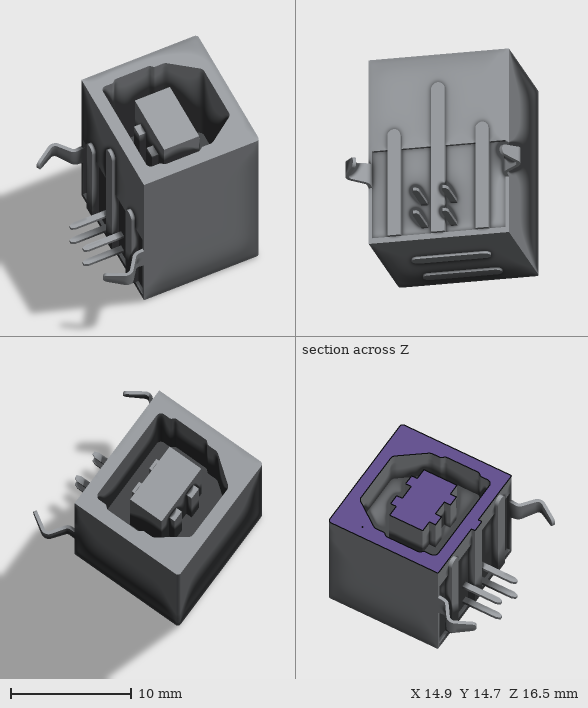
import cadquery as cq

SHELL_WIDTH = 11.98
SHELL_DEPTH = 10.68
SHELL_HEIGHT = 16.29
SHELL_CORNER_RADIUS = 0.3
SHEET = 0.3
JOIN = 0.16

CAVITY_DEPTH = 9.08
CAVITY_HALF_WIDTH = 4.55
CAVITY_FRONT = 1.09
CAVITY_BACK = 9.57
SHOULDER_Y = 7.0
CAVITY_BACK_HALF = 2.62
CAVITY_FRONT_RADIUS = 0.43
CAVITY_BACK_RADIUS = 0.5
CAVITY_SHOULDER_RADIUS = 0.6
RELIEF_FRONT = 2.2
RELIEF_BACK = 6.02
RELIEF_OUT = 0.28
RELIEF_RUN = 0.31
RELIEF_RADIUS = 0.25

TONGUE_WIDTH = 5.61
TONGUE_FRONT = 3.38
TONGUE_BACK = 6.62
TONGUE_DROP = 0.99
CONTACT_WIDTH = 1.02
CONTACT_SPACING = 2.43
CONTACT_FRONT = 2.79
CONTACT_BACK = 7.16
CONTACT_DROP = 2.97

RECESS_WIDTH = 11.42
RECESS_BOTTOM = 0.48
RECESS_TOP = 8.18
RIB_PROUD = 0.35
CENTRE_RIB_WIDTH = 1.15
CENTRE_RIB_TOP = 13.7
SIDE_RIB_WIDTH = 1.1
SIDE_RIB_TOP = 9.87
SIDE_RIB_X = 3.76

PIN_WIDTH = 0.56
PIN_THICKNESS = 0.26
PIN_SPACING = 2.5
PIN_END = 3.32
PIN_TIP_LENGTH = 0.36
PIN_TIP_WIDTH = 0.26
PIN_HEIGHTS = (1.22, 3.23)

LEG_Z = 5.94
LEG_ROOT_WIDTH = 2.01
LEG_TAPER_SLOPE = 0.156
LEG_CORNERS = ((0, -0.76), (1.65, -1.93), (0.41, -3.9))
LEG_BEND_RADIUS = 0.53
LEG_TIP_RADIUS = 0.41

PAD_HEIGHT = 0.21
PAD_WIDTH = 1.12
PAD_LENGTH = 6.76
PAD_Y = (4.4, 8.38)


def block(width, front, back, bottom, top, x=0):
    """Box of the given width centred on x."""
    base = cq.Workplane("XY", origin=(x, front, bottom))
    return base.box(width, back - front, top - bottom, centered=(True, False, False))


def make_shell():
    shell = block(SHELL_WIDTH, 0, SHELL_DEPTH, 0, SHELL_HEIGHT)
    return shell.edges("|Z and >Y").fillet(SHELL_CORNER_RADIUS)


def upright_edges(front, back):
    """Selector for the cavity corners whose Y lies from front to back."""
    margin = 0.02
    in_band = cq.selectors.BoxSelector(
        (-SHELL_WIDTH, front - margin, 0), (SHELL_WIDTH, back + margin, SHELL_HEIGHT)
    )
    return cq.selectors.AndSelector(cq.selectors.ParallelDirSelector(cq.Vector(0, 0, 1)), in_band)


def make_cavity():
    half = CAVITY_HALF_WIDTH
    wide = half + RELIEF_OUT
    right_side = [
        (half, CAVITY_FRONT),
        (half, RELIEF_FRONT),
        (wide, RELIEF_FRONT + RELIEF_RUN),
        (wide, RELIEF_BACK - RELIEF_RUN),
        (half, RELIEF_BACK),
        (half, SHOULDER_Y),
        (CAVITY_BACK_HALF, CAVITY_BACK),
    ]
    left_side = [(-x, y) for x, y in reversed(right_side)]
    floor = SHELL_HEIGHT - CAVITY_DEPTH
    outline = cq.Workplane("XY", origin=(0, 0, floor)).polyline(right_side + left_side).close()
    cavity = outline.extrude(CAVITY_DEPTH)
    cavity = cavity.edges("|Z and <Y").fillet(CAVITY_FRONT_RADIUS)
    cavity = cavity.edges("|Z and >Y").fillet(CAVITY_BACK_RADIUS)
    cavity = cavity.edges(upright_edges(SHOULDER_Y, SHOULDER_Y)).fillet(CAVITY_SHOULDER_RADIUS)
    cavity = cavity.edges(upright_edges(RELIEF_FRONT, RELIEF_FRONT + RELIEF_RUN)).fillet(RELIEF_RADIUS)
    return cavity.edges(upright_edges(RELIEF_BACK - RELIEF_RUN, RELIEF_BACK)).fillet(RELIEF_RADIUS)


def make_tongue():
    floor = SHELL_HEIGHT - CAVITY_DEPTH - JOIN
    contact_top = SHELL_HEIGHT - CONTACT_DROP
    tongue = block(TONGUE_WIDTH, TONGUE_FRONT, TONGUE_BACK, floor, SHELL_HEIGHT - TONGUE_DROP)
    for x in (-CONTACT_SPACING / 2, CONTACT_SPACING / 2):
        tongue = tongue.union(block(CONTACT_WIDTH, CONTACT_FRONT, CONTACT_BACK, floor, contact_top, x))
    return tongue


def make_rib(x, width, top):
    """Upright rib with a semicircular top."""
    radius = width / 2
    profile = (
        cq.Workplane("XZ", origin=(x, SHEET + JOIN, 0))
        .moveTo(-radius, RECESS_BOTTOM)
        .lineTo(-radius, top - radius)
        .threePointArc((0, top), (radius, top - radius))
        .lineTo(radius, RECESS_BOTTOM)
        .close()
    )
    return profile.extrude(SHEET + JOIN + RIB_PROUD)


def make_pin(x, z):
    """Flat pin with a pointed tip, reaching forward from the recess floor."""
    half = PIN_WIDTH / 2
    tip_half = PIN_TIP_WIDTH / 2
    right_side = [
        (half, SHEET + JOIN),
        (half, PIN_TIP_LENGTH - PIN_END),
        (tip_half, -PIN_END),
    ]
    left_side = [(-px, y) for px, y in reversed(right_side)]
    outline = cq.Workplane("XY", origin=(x, 0, z)).polyline(right_side + left_side).close()
    return outline.extrude(PIN_THICKNESS / 2, both=True)


def make_leg():
    """Right-hand spring leg: a bent strip that narrows toward a rounded tip."""
    mid_x = (SHELL_WIDTH - SHEET) / 2
    points = [(mid_x, JOIN)] + [(mid_x + dx, y) for dx, y in LEG_CORNERS]
    path = cq.Wire.makePolygon([cq.Vector(x, y, LEG_Z) for x, y in points])
    path = path.fillet(LEG_BEND_RADIUS, path.Vertices()[1:-1])
    strip = cq.Workplane("XZ", origin=(mid_x, JOIN, LEG_Z)).rect(SHEET, LEG_ROOT_WIDTH).sweep(path)

    reach = JOIN - LEG_CORNERS[-1][1]
    root_half = LEG_ROOT_WIDTH / 2
    end_half = root_half - reach * LEG_TAPER_SLOPE
    upper_edge = [(JOIN, root_half), (0, root_half), (-reach, end_half)]
    lower_edge = [(y, -z) for y, z in reversed(upper_edge)]
    outline = cq.Workplane("YZ", origin=(0, 0, LEG_Z)).polyline(upper_edge + lower_edge).close()
    leg = strip.intersect(outline.extrude(SHELL_WIDTH))
    return leg.faces("<Y").edges("not |Z").fillet(LEG_TIP_RADIUS)


def make_pad(y):
    pad = cq.Workplane("XY", origin=(0, y, -PAD_HEIGHT)).slot2D(PAD_LENGTH, PAD_WIDTH)
    return pad.extrude(PAD_HEIGHT + JOIN)


result = make_shell().cut(make_cavity()).union(make_tongue())
result = result.cut(block(RECESS_WIDTH, 0, SHEET, RECESS_BOTTOM, RECESS_TOP))

result = result.union(make_rib(0, CENTRE_RIB_WIDTH, CENTRE_RIB_TOP))
for side in (-1, 1):
    result = result.union(make_rib(side * SIDE_RIB_X, SIDE_RIB_WIDTH, SIDE_RIB_TOP))
    for pin_z in PIN_HEIGHTS:
        result = result.union(make_pin(side * PIN_SPACING / 2, pin_z))

right_leg = make_leg()
result = result.union(right_leg).union(right_leg.mirror("YZ"))

for pad_y in PAD_Y:
    result = result.union(make_pad(pad_y))